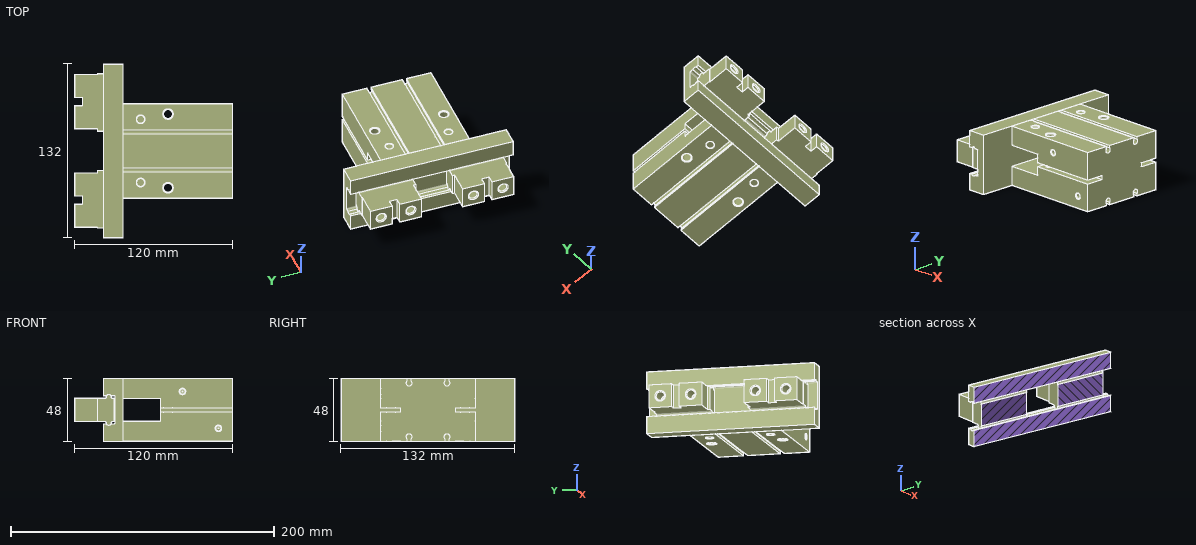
import cadquery as cq

RAIL_FRONT = 22.0
RAIL_BACK = 37.0
RAIL_LENGTH = 132.0
RAIL_HEIGHT = 48.0
BLOCK_BACK = 120.0
BLOCK_WIDTH = 72.0
BLOCK_HEIGHT = 47.8

GUIDE_HALF_HEIGHT = 10.7
GUIDE_BOTTOM = 30.6
GUIDE_CORNER_RADIUS = 0.5
RIDGE_RADIUS = 2.0
RIDGE_X = 26.0
RIDGE_Z = 9.7

WINDOW_BACK = 65.2
WINDOW_HEIGHT = 17.0
SLIT_HEIGHT = 3.2
SLIT_DEPTH = 15.0

SENSOR_Y = 14.4
SENSOR_NECK_WIDTH = 3.2
SENSOR_BORE_RADIUS = 2.2
SENSOR_BORE_DEPTH = 3.5

MOUNT_X = 71.0
MOUNT_Y = 28.0
MOUNT_DIAMETER = 6.8
MOUNT_MOUTH = 8.0
LOCATING_X = 50.2
LOCATING_Y = 24.0
LOCATING_DIAMETER = 6.0
LOCATING_MOUTH = 6.6
LOCATING_DEPTH = 0.4
PORT_PLACES = [(82.0, 14.0), (109.3, -14.0)]
PORT_DIAMETER = 4.0
PORT_MOUTH = 5.0
PORT_DEPTH = 10.0
PILOT_DIAMETER = 0.6
PILOT_DEPTH = 14.0

JAW_Y = 37.4
JAW_HEIGHT = 17.8
JAW_BACK = 30.1
RIDGE_FILLET = 0.7
JAW_WIDTH = 41.5
JAW_SHOULDER_X = 17.4
JAW_OUTER_STEP = 0.5
JAW_INNER_STEP = 1.8
JAW_NOTCH_WIDTH = 6.0
JAW_NOTCH_DEPTH = 6.0
JAW_HOLE_PITCH = 24.0
JAW_HOLE_DIAMETER = 6.6
JAW_HOLE_MOUTH = 8.2
JAW_HOLE_DEPTH = 16.0

SIDES = (1, -1)


def block(x_range, y_range, z_range):
    """Box between the given limits on each axis."""
    size = [high - low for low, high in (x_range, y_range, z_range)]
    corner = (x_range[0], y_range[0], z_range[0])
    return cq.Workplane("XY").box(*size, centered=False).translate(corner)


def rod(start, direction, radius, length):
    """Round bar from a start point along a direction."""
    return cq.Workplane(cq.Solid.makeCylinder(radius, length, cq.Vector(*start), cq.Vector(*direction)))


def cone(start, direction, start_radius, end_radius, length):
    """Cone from a start point along a direction."""
    solid = cq.Solid.makeCone(start_radius, end_radius, length, cq.Vector(*start), cq.Vector(*direction))
    return cq.Workplane(solid)


def countersunk_hole(start, direction, diameter, mouth, depth):
    """Drill shape with a 45 degree chamfer at its mouth."""
    chamfer = (mouth - diameter) / 2
    drill = rod(start, direction, diameter / 2, depth)
    return drill.union(cone(start, direction, mouth / 2, diameter / 2, chamfer))


def ridge(side, y_range):
    """Round bar along Y that guides the jaws at the top (1) or bottom (-1)."""
    length = y_range[1] - y_range[0]
    return rod((RIDGE_X, y_range[0], side * RIDGE_Z), (0, 1, 0), RIDGE_RADIUS, length)


def guide_slot():
    """Slot along the rail with rounded bottom corners and a ridge groove in each wall."""
    half = RAIL_LENGTH / 2
    slot_z = (-GUIDE_HALF_HEIGHT, GUIDE_HALF_HEIGHT)
    slot = block((RAIL_FRONT, GUIDE_BOTTOM), (-half, half), slot_z)
    slot = slot.edges("|Y and >X").fillet(GUIDE_CORNER_RADIUS)
    for side in SIDES:
        slot = slot.union(ridge(side, (-half, half)))
    return slot


def sensor_groove(y, side):
    """Round channel opening through a narrower neck in the top (1) or bottom (-1) face."""
    length = BLOCK_BACK - RAIL_BACK
    bore_z = BLOCK_HEIGHT / 2 - SENSOR_BORE_DEPTH
    neck = block(
        (RAIL_BACK, BLOCK_BACK),
        (y - SENSOR_NECK_WIDTH / 2, y + SENSOR_NECK_WIDTH / 2),
        sorted((side * bore_z, side * BLOCK_HEIGHT / 2)),
    )
    return neck.union(rod((RAIL_BACK, y, side * bore_z), (1, 0, 0), SENSOR_BORE_RADIUS, length))


def air_port(x, z):
    """Countersunk flat-bottomed hole in the -Y side with a pilot hole through its floor."""
    inward = (0, 1, 0)
    mouth = (x, -BLOCK_WIDTH / 2, z)
    port = countersunk_hole(mouth, inward, PORT_DIAMETER, PORT_MOUTH, PORT_DEPTH)
    return port.union(rod(mouth, inward, PILOT_DIAMETER / 2, PILOT_DEPTH))


def block_face_holes(side, face):
    """Mounting hole and locating recess on one side of the top (1) or bottom (-1) face."""
    face_z = face * BLOCK_HEIGHT / 2
    inward = (0, 0, -face)
    mount = countersunk_hole(
        (MOUNT_X, side * MOUNT_Y, face_z), inward, MOUNT_DIAMETER, MOUNT_MOUTH, BLOCK_HEIGHT / 2
    )
    locating = countersunk_hole(
        (LOCATING_X, side * LOCATING_Y, face_z), inward, LOCATING_DIAMETER, LOCATING_MOUTH, LOCATING_DEPTH
    )
    return mount.union(locating)


def make_housing():
    """Rail and block in one piece, with all slots and holes cut."""
    rail_top = RAIL_HEIGHT / 2
    block_top = BLOCK_HEIGHT / 2
    half_width = BLOCK_WIDTH / 2
    window_z = (-WINDOW_HEIGHT / 2, WINDOW_HEIGHT / 2)
    slit_z = (-SLIT_HEIGHT / 2, SLIT_HEIGHT / 2)

    body = block((RAIL_FRONT, RAIL_BACK), (-RAIL_LENGTH / 2, RAIL_LENGTH / 2), (-rail_top, rail_top))
    body = body.union(block((RAIL_BACK, BLOCK_BACK), (-half_width, half_width), (-block_top, block_top)))
    body = body.cut(guide_slot())
    body = body.cut(block((RAIL_BACK, WINDOW_BACK), (-half_width, half_width), window_z))
    for side in SIDES:
        slit_y = sorted((side * half_width, side * (half_width - SLIT_DEPTH)))
        body = body.cut(block((WINDOW_BACK, BLOCK_BACK), slit_y, slit_z))
        for face in SIDES:
            body = body.cut(sensor_groove(side * SENSOR_Y, face))
            body = body.cut(block_face_holes(side, face))
    for x, z in PORT_PLACES:
        body = body.cut(air_port(x, z))
    return body


def ridge_roots(y_range):
    """Selector for the edges where the ridges rise from the jaw."""
    reach = RIDGE_RADIUS + RIDGE_FILLET
    low = (RIDGE_X - reach, y_range[0], -RIDGE_Z)
    high = (RIDGE_X + reach, y_range[1], RIDGE_Z)
    return cq.selectors.BoxSelector(low, high)


def make_jaw():
    """The +Y jaw."""
    z_range = (-JAW_HEIGHT / 2, JAW_HEIGHT / 2)
    inner_y = JAW_Y - JAW_WIDTH / 2
    outer_y = JAW_Y + JAW_WIDTH / 2
    foot_y = (inner_y - JAW_INNER_STEP, outer_y + JAW_OUTER_STEP)
    jaw = block((0, JAW_SHOULDER_X), (inner_y, outer_y), z_range)
    jaw = jaw.union(block((JAW_SHOULDER_X, JAW_BACK), foot_y, z_range))
    for side in SIDES:
        jaw = jaw.union(ridge(side, foot_y))
    jaw = jaw.edges("|Y").edges(ridge_roots(foot_y)).fillet(RIDGE_FILLET)
    notch_y = (JAW_Y - JAW_NOTCH_WIDTH / 2, JAW_Y + JAW_NOTCH_WIDTH / 2)
    jaw = jaw.cut(block((0, JAW_NOTCH_DEPTH), notch_y, z_range))
    for side in SIDES:
        start = (0, JAW_Y + side * JAW_HOLE_PITCH / 2, 0)
        jaw = jaw.cut(countersunk_hole(start, (1, 0, 0), JAW_HOLE_DIAMETER, JAW_HOLE_MOUTH, JAW_HOLE_DEPTH))
    return jaw


housing = make_housing()
plus_y_jaw = make_jaw()
minus_y_jaw = plus_y_jaw.mirror("XZ")

result = cq.Compound.makeCompound([housing.val(), plus_y_jaw.val(), minus_y_jaw.val()])